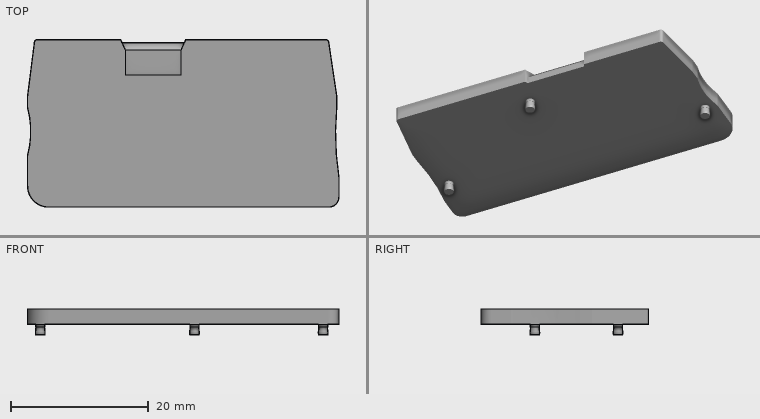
import cadquery as cq

LENGTH = 45.2
WIDTH = 24.3
TOTAL_HEIGHT = 3.8
THICKNESS = 2.25
LEFT_CORNER_RADIUS = 3.07
RIGHT_CORNER_RADIUS = 1.5
BACK_CORNER_RADIUS = 0.45

TAPER_START_Y = 16.15
LEFT_BACK_X = 1.05
RIGHT_BACK_X = 43.65
RIGHT_SHOULDER_X = 44.9
LEFT_HOLLOW_FRONT_Y = 7.55
LEFT_HOLLOW_BACK_Y = 14.4
LEFT_HOLLOW_DEPTH = 0.45
RIGHT_HOLLOW_FRONT_Y = 4.4
RIGHT_HOLLOW_MIDDLE_Y = 8.15
RIGHT_HOLLOW_BACK_Y = 14.4
RIGHT_HOLLOW_X = 44.8

RECESS_LEFT_X = 14.2
RECESS_RIGHT_X = 22.3
RECESS_FRONT_Y = 19.15
RECESS_DEPTH = 0.15
FLARE = 0.7
FLARE_START_Y = 22.83
LIP_Y = 23.85
LIP_DROP = 1.2

PIN_CENTERS = [(1.85, 7.8), (24.23, 19.9), (42.9, 7.8)]
PIN_COLLAR_RADIUS = 0.7
PIN_COLLAR_HEIGHT = 0.4
PIN_NECK_RADIUS = 0.65
PIN_HEAD_RADIUS = 0.72
PIN_HEAD_HEIGHT = 0.3
PIN_TIP_RADIUS = 0.7


def make_plate():
    hollow_middle_y = (LEFT_HOLLOW_FRONT_Y + LEFT_HOLLOW_BACK_Y) / 2
    plate = (
        cq.Workplane("XY")
        .moveTo(0, 0)
        .lineTo(LENGTH, 0)
        .lineTo(LENGTH, RIGHT_HOLLOW_FRONT_Y)
        .threePointArc(
            (RIGHT_HOLLOW_X, RIGHT_HOLLOW_MIDDLE_Y),
            (RIGHT_SHOULDER_X, RIGHT_HOLLOW_BACK_Y),
        )
        .lineTo(RIGHT_SHOULDER_X, TAPER_START_Y)
        .lineTo(RIGHT_BACK_X, WIDTH)
        .lineTo(LEFT_BACK_X, WIDTH)
        .lineTo(0, TAPER_START_Y)
        .lineTo(0, LEFT_HOLLOW_BACK_Y)
        .threePointArc((LEFT_HOLLOW_DEPTH, hollow_middle_y), (0, LEFT_HOLLOW_FRONT_Y))
        .close()
        .extrude(THICKNESS)
    )
    left_corner = cq.selectors.NearestToPointSelector((0, 0, THICKNESS / 2))
    plate = plate.edges(left_corner).fillet(LEFT_CORNER_RADIUS)
    right_corner = cq.selectors.NearestToPointSelector((LENGTH, 0, THICKNESS / 2))
    plate = plate.edges(right_corner).fillet(RIGHT_CORNER_RADIUS)
    for x in (LEFT_BACK_X, RIGHT_BACK_X):
        back_corner = cq.selectors.NearestToPointSelector((x, WIDTH, THICKNESS / 2))
        plate = plate.edges(back_corner).fillet(BACK_CORNER_RADIUS)
    return plate


def make_recess():
    """Recess volume: flared plan shape limited by a floor that slopes down to the back lip."""
    plan = (
        cq.Workplane("XY")
        .polyline([
            (RECESS_LEFT_X, RECESS_FRONT_Y),
            (RECESS_RIGHT_X, RECESS_FRONT_Y),
            (RECESS_RIGHT_X, FLARE_START_Y),
            (RECESS_RIGHT_X + FLARE, WIDTH),
            (RECESS_LEFT_X - FLARE, WIDTH),
            (RECESS_LEFT_X, FLARE_START_Y),
        ])
        .close()
        .extrude(THICKNESS)
    )
    floor_z = THICKNESS - RECESS_DEPTH
    side = (
        cq.Workplane("YZ")
        .polyline([
            (RECESS_FRONT_Y, THICKNESS),
            (RECESS_FRONT_Y, floor_z),
            (FLARE_START_Y, floor_z),
            (LIP_Y, THICKNESS - LIP_DROP),
            (LIP_Y, 0),
            (WIDTH, 0),
            (WIDTH, THICKNESS),
        ])
        .close()
        .extrude(LENGTH)
    )
    return plan.intersect(side)


def make_pin(x, y):
    """Pin with a collar at the plate and a neck that widens to a snap head with a tapered tip."""
    pin_length = TOTAL_HEIGHT - THICKNESS
    pin = (
        cq.Workplane("XZ")
        .polyline([
            (0, 0),
            (PIN_COLLAR_RADIUS, 0),
            (PIN_COLLAR_RADIUS, -PIN_COLLAR_HEIGHT),
            (PIN_NECK_RADIUS, -PIN_COLLAR_HEIGHT),
            (PIN_HEAD_RADIUS, PIN_HEAD_HEIGHT - pin_length),
            (PIN_TIP_RADIUS, -pin_length),
            (0, -pin_length),
        ])
        .close()
        .revolve(360, (0, 0), (0, 1))
    )
    return pin.translate((x, y, 0))


result = make_plate().cut(make_recess())
for pin_x, pin_y in PIN_CENTERS:
    result = result.union(make_pin(pin_x, pin_y))